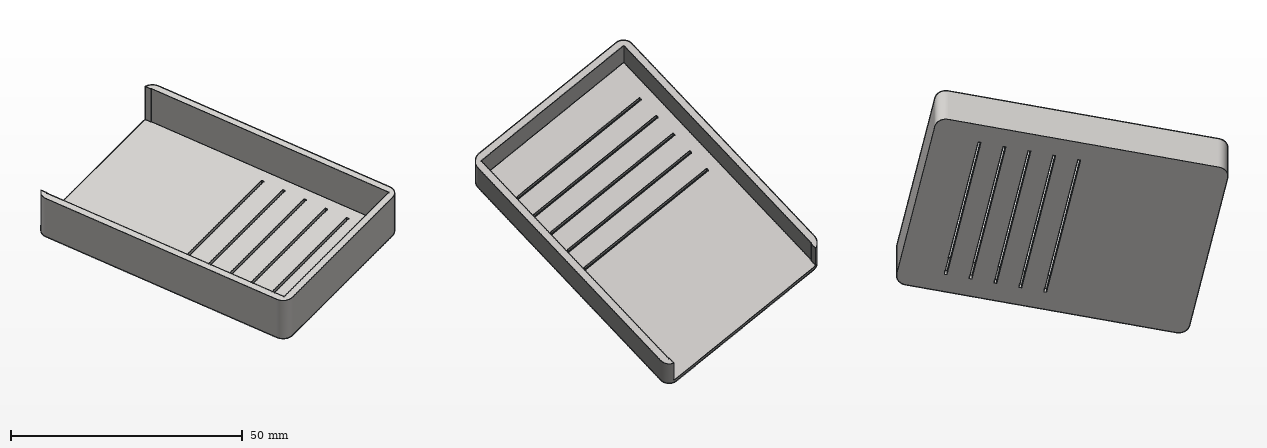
import cadquery as cq

length = 64.7
width = 44.2
height = 11.0
wall = 1.6
floor = 1.5
corner_radius = 2.45

opening_lip = 0.1
cavity_length = length - 2 * wall
cavity_width = width - 2 * wall
opening_width = cavity_width - 2 * opening_lip

slot_count = 5
slot_pitch = 5.5
slot_width = 0.6
slot_length = 35.2


def make_block():
    block = cq.Workplane("XY").box(length, width, height, centered=(True, True, False))
    return block.edges("|Z").fillet(corner_radius)


def make_cavity():
    floor_plane = cq.Workplane("XY").workplane(offset=floor)
    return floor_plane.rect(cavity_length, cavity_width).extrude(height - floor)


def make_opening():
    """Cut from the -X face to mid-length, leaving a small lip beside each side wall."""
    floor_plane = cq.Workplane("XY").workplane(offset=floor)
    return floor_plane.center(-length / 4, 0).rect(length / 2, opening_width).extrude(height - floor)


def make_slots():
    centers = [(i * slot_pitch, 0) for i in range(slot_count)]
    return cq.Workplane("XY").pushPoints(centers).rect(slot_width, slot_length).extrude(floor)


result = make_block().cut(make_cavity()).cut(make_opening()).cut(make_slots())